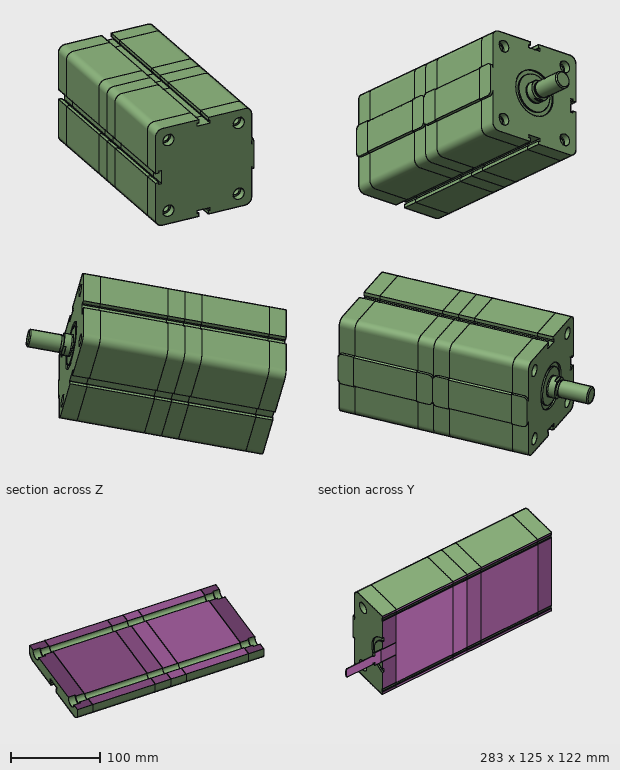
import cadquery as cq

overall_length = 283.0
body_size = 122.0
half_body = body_size / 2
corner_radius = 8.8
cap_length = 19.5
tube_length = 77.5
cylinder_length = 2 * cap_length + tube_length
body_start = overall_length - 2 * cylinder_length

slot_opening = 12.2
slot_width = 16.5
slot_lip = 4.2
slot_depth = 7.5
slot_rotations = (0, 90, 180)

plate_height = 3.0
plate_width = 38.8
plate_corner_radius = 5.5
plate_bevel = 0.8

bore_pitch = 89.1
bore_diameter = 8.5
wide_bore_diameter = 10.0
counterbore_diameter = 14.0
counterbore_depth = 8.5

groove_outer_diameter = 55.0
groove_inner_diameter = 45.0
groove_depth = 2.0

rod_diameter = 25.0
stud_diameter = 20.0
stud_chamfer = 1.5
undercut_diameter = 18.5
stud_end = 37.0
collar_start = 39.5
flat_end = 42.5
rod_start = 48.0
flat_width = 22.0


def cylinder_along_x(start, length, diameter):
    """Solid cylinder on the part's axis."""
    return cq.Workplane("YZ", origin=(start, 0, 0)).circle(diameter / 2).extrude(length)


def body_block(start, length):
    """Rounded square block, without slots, bores or plate."""
    block = cq.Workplane("YZ", origin=(start, 0, 0)).rect(body_size, body_size).extrude(length)
    return block.edges("|X").fillet(corner_radius)


def cut_slots(block, start, length):
    """Cut a T-slot along the +Z, -Y and -Z sides."""
    lip_bottom = half_body - slot_lip
    slot_bottom = half_body - slot_depth
    outline = [
        (-slot_opening / 2, half_body),
        (-slot_opening / 2, lip_bottom),
        (-slot_width / 2, lip_bottom),
        (-slot_width / 2, slot_bottom),
        (slot_width / 2, slot_bottom),
        (slot_width / 2, lip_bottom),
        (slot_opening / 2, lip_bottom),
        (slot_opening / 2, half_body),
    ]
    slot = cq.Workplane("YZ", origin=(start, 0, 0)).polyline(outline).close().extrude(length)
    for angle in slot_rotations:
        block = block.cut(slot.rotate((0, 0, 0), (1, 0, 0), angle))
    return block


def corner_holes(start, length, diameter):
    """Four parallel cylinders on the bore pattern, used as cutters."""
    pattern = cq.Workplane("YZ", origin=(start, 0, 0)).rect(bore_pitch, bore_pitch, forConstruction=True)
    return pattern.vertices().circle(diameter / 2).extrude(length)


def make_cap(start, rounded_end, hole_diameter):
    """End cap; rounded_end ("<X" or ">X") is the end where its plate is rounded."""
    plate = cq.Workplane("YZ", origin=(start, half_body, 0))
    plate = plate.rect(2 * plate_height, plate_width).extrude(cap_length)
    plate = plate.faces(rounded_end).edges("|Y").fillet(plate_corner_radius)
    cap = cut_slots(body_block(start, cap_length), start, cap_length).union(plate)
    return cap.cut(corner_holes(start, cap_length, hole_diameter))


def make_tube(start):
    """Tube section; its plate has bevelled long sides."""
    outer_half_width = plate_width / 2 - plate_bevel
    outline = [
        (half_body, -plate_width / 2),
        (half_body + plate_height, -outer_half_width),
        (half_body + plate_height, outer_half_width),
        (half_body, plate_width / 2),
        (half_body - plate_height, plate_width / 2),
        (half_body - plate_height, -plate_width / 2),
    ]
    plate = cq.Workplane("YZ", origin=(start, 0, 0)).polyline(outline).close().extrude(tube_length)
    tube = cut_slots(body_block(start, tube_length), start, tube_length).union(plate)
    return tube.cut(corner_holes(start, tube_length, bore_diameter))


def make_rod_end():
    """Stud with an undercut and a collar with two wrench flats."""
    stud = cylinder_along_x(0, stud_end, stud_diameter).faces("<X").chamfer(stud_chamfer)
    undercut = cylinder_along_x(stud_end, collar_start - stud_end, undercut_diameter)
    flats = cylinder_along_x(collar_start, flat_end - collar_start, rod_diameter)
    flats = flats.intersect(cq.Workplane("XY").box(2 * overall_length, rod_diameter, flat_width))
    collar = cylinder_along_x(flat_end, rod_start - flat_end, rod_diameter)
    return stud.union(undercut).union(flats).union(collar)


rear_cylinder_start = body_start + cylinder_length
front_cap = make_cap(body_start, "<X", wide_bore_diameter)
rear_cap = make_cap(overall_length - cap_length, ">X", wide_bore_diameter)
middle_caps = [
    make_cap(rear_cylinder_start - cap_length, ">X", bore_diameter),
    make_cap(rear_cylinder_start, "<X", bore_diameter),
]
tubes = [make_tube(start + cap_length) for start in (body_start, rear_cylinder_start)]

groove = cylinder_along_x(body_start, groove_depth, groove_outer_diameter)
groove = groove.cut(cylinder_along_x(body_start, groove_depth, groove_inner_diameter))
front_cap = front_cap.cut(cylinder_along_x(body_start, cap_length, rod_diameter))
front_cap = front_cap.cut(groove)
front_cap = front_cap.cut(corner_holes(body_start, counterbore_depth, counterbore_diameter))

counterbore_start = overall_length - counterbore_depth
rear_cap = rear_cap.cut(corner_holes(counterbore_start, counterbore_depth, counterbore_diameter))

rod = cylinder_along_x(rod_start, body_start + cap_length - rod_start, rod_diameter)
rod_end = make_rod_end()

section_solids = [section.val() for section in [front_cap, *middle_caps, rear_cap, *tubes]]
result = cq.Compound.makeCompound([rod_end.val(), rod.val(), *section_solids])